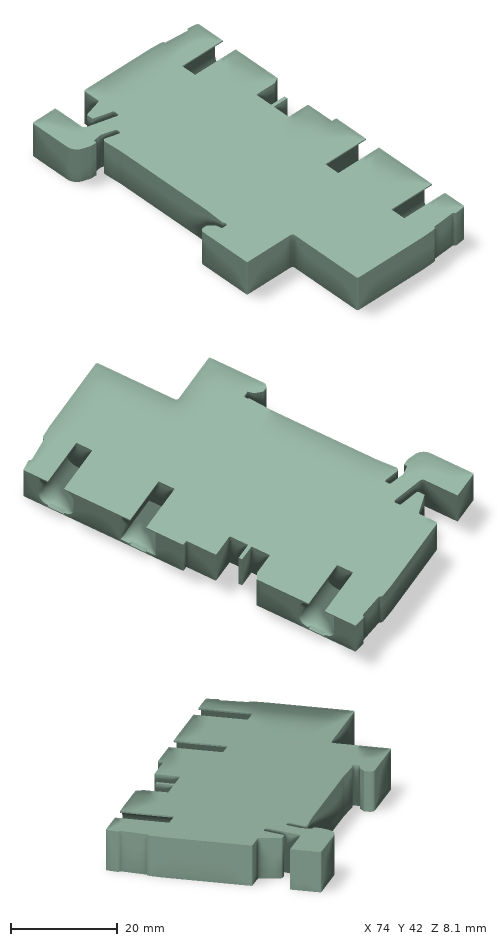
import cadquery as cq
import math

LENGTH = 74.05
HEIGHT = 42.0
THICKNESS = 8.1

BODY_BOTTOM = 13.3
RAIL_SEAT = 6.4
RAIL_LIP = 6.1
FOOT_BOTTOM = 1.55

EDGE_RADIUS = 0.3
SLOT_RADIUS = 0.4

NOTCH_LEFT = 23.2
NOTCH_RIGHT = 31.9
NOTCH_FLOOR = 35.85
LEDGE_END = 38.35
LEDGE_LEVEL = 40.9
FIN_LEFT = 27.2
FIN_WIDTH = 0.75
FIN_TOP = 39.3

POCKET_LENGTH = 10.5
MOUTH_WIDTH = 3.5
LIP_THICKNESS = 0.3
UNDERCUT = 2.1
FLOOR_THICKNESS = 0.75
OUTER_CORNER_RADIUS = 2.3
INNER_CORNER_RADIUS = 2.0
LEAD_IN_LENGTH = 0.7
LEAD_IN_DROP = 0.45
LEFT_POCKET = 7.7
MIDDLE_POCKET = 46.4
RIGHT_POCKET = 64.3

LEFT_END = [
    (0.0, 30.4, 0),
    (0.15, 33.25, 0),
    (0.4, 33.8, 0),
    (0.7, 33.8, 0),
    (1.1, 39.1, 0),
    (0.7, 39.55, 0),
    (0.95, HEIGHT, EDGE_RADIUS),
]
RIGHT_END = [(LENGTH - x, y, radius) for x, y, radius in reversed(LEFT_END)]

TOP_EDGE = [
    (22.45, HEIGHT, 0),
    (NOTCH_LEFT, 40.6, 0),
    (NOTCH_LEFT, NOTCH_FLOOR, 0),
    (FIN_LEFT, NOTCH_FLOOR, 0),
    (FIN_LEFT, FIN_TOP, 0),
    (FIN_LEFT + FIN_WIDTH, FIN_TOP, 0),
    (FIN_LEFT + FIN_WIDTH, NOTCH_FLOOR, 0),
    (NOTCH_RIGHT, NOTCH_FLOOR, 0),
    (NOTCH_RIGHT, LEDGE_LEVEL, EDGE_RADIUS),
    (LEDGE_END, LEDGE_LEVEL, 0),
    (LEDGE_END, HEIGHT, EDGE_RADIUS),
]

FIXED_FOOT = [
    (LENGTH, BODY_BOTTOM, SLOT_RADIUS),
    (56.5, BODY_BOTTOM, 0.6),
    (56.5, FOOT_BOTTOM, EDGE_RADIUS),
    (43.7, FOOT_BOTTOM, 0.95),
    (43.7, 3.4, 0.4),
    (44.95, 4.6, 0.5),
    (46.2, 4.9, 0),
    (46.2, 6.3, SLOT_RADIUS),
    (45.5, 6.3, 0),
    (45.2, RAIL_LIP, 0),
    (40.35, RAIL_SEAT, 0),
]

SPRING_FOOT = [
    (17.3, RAIL_SEAT, 0),
    (12.45, RAIL_LIP, 0.6),
    (13.55, 10.1, SLOT_RADIUS),
    (12.3, 10.1, SLOT_RADIUS),
    (11.3, 6.9, 0.5),
    (11.6, 4.8, 0),
    (12.4, 4.8, 0),
    (12.4, 3.4, 0.9),
    (11.25, 0.0, 2.6),
    (0.0, 0.0, EDGE_RADIUS),
    (0.0, 6.0, 0),
    (7.7, 6.0, 0.75),
    (9.7, BODY_BOTTOM, SLOT_RADIUS),
    (8.15, BODY_BOTTOM, SLOT_RADIUS),
    (6.95, 8.95, EDGE_RADIUS),
    (5.4, 8.95, EDGE_RADIUS),
    (4.15, BODY_BOTTOM, EDGE_RADIUS),
    (0.0, BODY_BOTTOM, SLOT_RADIUS),
]


def corner_points(before, corner, after):
    """Start, middle and end of the arc that rounds one corner of an outline."""
    x, y, radius = corner
    angle_in = math.atan2(before[1] - y, before[0] - x)
    angle_out = math.atan2(after[1] - y, after[0] - x)
    half_turn = math.acos(math.cos(angle_in - angle_out)) / 2
    tangent_length = radius / math.tan(half_turn)
    middle_length = radius / math.sin(half_turn) - radius
    bisector = math.atan2(
        math.sin(angle_in) + math.sin(angle_out),
        math.cos(angle_in) + math.cos(angle_out),
    )

    def along(angle, distance):
        return (x + distance * math.cos(angle), y + distance * math.sin(angle))

    return along(angle_in, tangent_length), along(bisector, middle_length), along(angle_out, tangent_length)


def rounded_outline(plane, corners):
    """Closed outline through (x, y, radius) corners; the first corner is sharp."""
    path = plane.moveTo(*corners[0][:2])
    following_corners = corners[2:] + corners[:1]
    for before, corner, after in zip(corners, corners[1:], following_corners):
        if corner[2] == 0:
            path = path.lineTo(*corner[:2])
        else:
            start, middle, end = corner_points(before, corner, after)
            path = path.lineTo(*start).threePointArc(middle, end)
    return path.close()


def pocket(left, left_radii=(0, 0), right_radii=(0, 0)):
    """Pocket whose mouth starts at x = left; radii are given as (floor, roof) of the cavity."""
    right = left + MOUTH_WIDTH
    roof = THICKNESS - LIP_THICKNESS
    section = [
        (right, roof, 0),
        (right + UNDERCUT, roof, right_radii[1]),
        (right + UNDERCUT, FLOOR_THICKNESS, right_radii[0]),
        (left - UNDERCUT, FLOOR_THICKNESS, left_radii[0]),
        (left - UNDERCUT, roof, left_radii[1]),
        (left, roof, 0),
        (left, THICKNESS, 0),
        (right, THICKNESS, 0),
    ]
    rear_plane = cq.Workplane("XZ", origin=(0, HEIGHT, 0))
    cavity = rounded_outline(rear_plane, section).extrude(POCKET_LENGTH)

    lead_in = (
        cq.Workplane("YZ", origin=(left, 0, 0))
        .moveTo(HEIGHT - LEAD_IN_LENGTH, FLOOR_THICKNESS)
        .lineTo(HEIGHT, FLOOR_THICKNESS - LEAD_IN_DROP)
        .lineTo(HEIGHT, FLOOR_THICKNESS)
        .close()
        .extrude(MOUTH_WIDTH)
    )
    return cavity.union(lead_in)


outline = LEFT_END + TOP_EDGE + RIGHT_END + FIXED_FOOT + SPRING_FOOT
housing = rounded_outline(cq.Workplane("XY"), outline).extrude(THICKNESS)

inner_radii = (INNER_CORNER_RADIUS, INNER_CORNER_RADIUS)
outer_radii = (OUTER_CORNER_RADIUS, 0)
pockets = [
    pocket(LEFT_POCKET, left_radii=outer_radii, right_radii=inner_radii),
    pocket(MIDDLE_POCKET),
    pocket(RIGHT_POCKET, left_radii=inner_radii, right_radii=outer_radii),
]
for cut in pockets:
    housing = housing.cut(cut)

result = housing